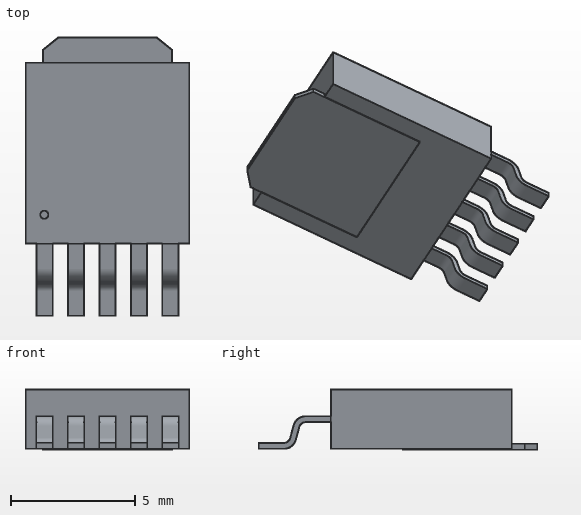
import cadquery as cq
import math

overall_length = 11.23

housing_width = 6.6
housing_length = 7.3
housing_height = 2.4

tab_width = 5.21
tab_overhang = 1.02
tab_length = 5.42
tab_thickness = 0.25
tab_standoff = 0.03
tab_corner_across = 0.63
tab_corner_along = 0.5

lead_count = 5
lead_pitch = 1.27
lead_width = 0.66
lead_thickness = 0.25
lead_top = 1.33
lead_reach = overall_length - housing_length - tab_overhang
lead_shoulder = 1.01
bend_inner_radius = 0.27
bend_outer_radius = bend_inner_radius + lead_thickness
bend_angle = math.radians(75)

marker_diameter = 0.33
marker_depth = 0.06
marker_from_side = 0.75
marker_from_front = 1.17


def make_heat_tab():
    """Flat plate with its two rear corners cut off."""
    rear = housing_length + tab_overhang
    front = rear - tab_length
    half_width = tab_width / 2
    half_rear_edge = half_width - tab_corner_across
    corner_start = rear - tab_corner_along
    return (
        cq.Workplane("XY")
        .workplane(offset=-tab_standoff)
        .polyline([
            (-half_width, front),
            (half_width, front),
            (half_width, corner_start),
            (half_rear_edge, rear),
            (-half_rear_edge, rear),
            (-half_width, corner_start),
        ])
        .close()
        .extrude(tab_thickness)
    )


def make_marker():
    return (
        cq.Workplane("XY")
        .workplane(offset=housing_height - marker_depth)
        .center(marker_from_side - housing_width / 2, marker_from_front)
        .circle(marker_diameter / 2)
        .extrude(marker_depth)
    )


def make_housing(heat_tab, marker):
    """Plain block with matching recesses for the heat tab and the marker."""
    block = cq.Workplane("XY").box(
        housing_width, housing_length, housing_height, centered=(True, False, False)
    )
    return block.cut(heat_tab).cut(marker)


def arc_point(center, radius, angle):
    """Point on a lead bend, with the angle measured from up (+Z) towards the front (-Y)."""
    return (center[0] - radius * math.sin(angle), center[1] + radius * math.cos(angle))


def make_lead(x):
    """Sheet strip with a flat shoulder, a sloping leg and a flat foot, centred on x."""
    bend_radii_sum = bend_inner_radius + bend_outer_radius
    leg_drop = lead_top - lead_thickness - bend_radii_sum * (1 - math.cos(bend_angle))
    bend_run = bend_radii_sum * math.sin(bend_angle) + leg_drop / math.tan(bend_angle)

    shoulder_end = -lead_shoulder
    foot_start = shoulder_end - bend_run
    foot_end = -lead_reach
    upper_center = (shoulder_end, lead_top - bend_outer_radius)
    lower_center = (foot_start, bend_outer_radius)

    lower_leg = bend_angle + math.pi
    lower_middle = bend_angle / 2 + math.pi
    profile = (
        cq.Workplane("YZ")
        .workplane(offset=x - lead_width / 2)
        .moveTo(0, lead_top)
        .lineTo(shoulder_end, lead_top)
        .threePointArc(
            arc_point(upper_center, bend_outer_radius, bend_angle / 2),
            arc_point(upper_center, bend_outer_radius, bend_angle),
        )
        .lineTo(*arc_point(lower_center, bend_inner_radius, lower_leg))
        .threePointArc(
            arc_point(lower_center, bend_inner_radius, lower_middle),
            (foot_start, lead_thickness),
        )
        .lineTo(foot_end, lead_thickness)
        .lineTo(foot_end, 0)
        .lineTo(foot_start, 0)
        .threePointArc(
            arc_point(lower_center, bend_outer_radius, lower_middle),
            arc_point(lower_center, bend_outer_radius, lower_leg),
        )
        .lineTo(*arc_point(upper_center, bend_inner_radius, bend_angle))
        .threePointArc(
            arc_point(upper_center, bend_inner_radius, bend_angle / 2),
            (shoulder_end, lead_top - lead_thickness),
        )
        .lineTo(0, lead_top - lead_thickness)
        .close()
    )
    return profile.extrude(lead_width)


heat_tab = make_heat_tab()
marker = make_marker()
housing = make_housing(heat_tab, marker)

first_lead_x = -lead_pitch * (lead_count - 1) / 2
leads = [make_lead(first_lead_x + i * lead_pitch) for i in range(lead_count)]

result = cq.Compound.makeCompound([
    housing.val(),
    heat_tab.val(),
    marker.val(),
    *[lead.val() for lead in leads],
])